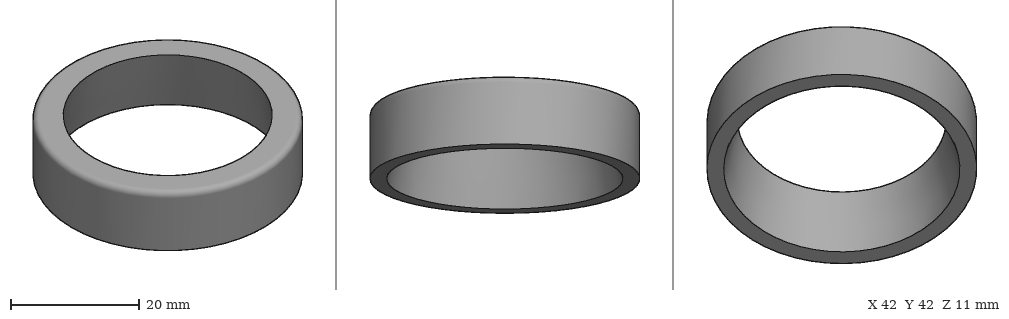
import cadquery as cq

outer_diameter = 42.0
height = 11.0
top_bore_diameter = 32.5
bottom_bore_diameter = 36.75
edge_radius = 1.0

outer_radius = outer_diameter / 2
top_bore_radius = top_bore_diameter / 2
bottom_bore_radius = bottom_bore_diameter / 2

body = cq.Workplane("XY").circle(outer_radius).extrude(height)
body = body.faces(">Z").edges().fillet(edge_radius)

bore = cq.Workplane("XY").circle(bottom_bore_radius)
bore = bore.workplane(offset=height).circle(top_bore_radius).loft(ruled=True)

result = body.cut(bore)